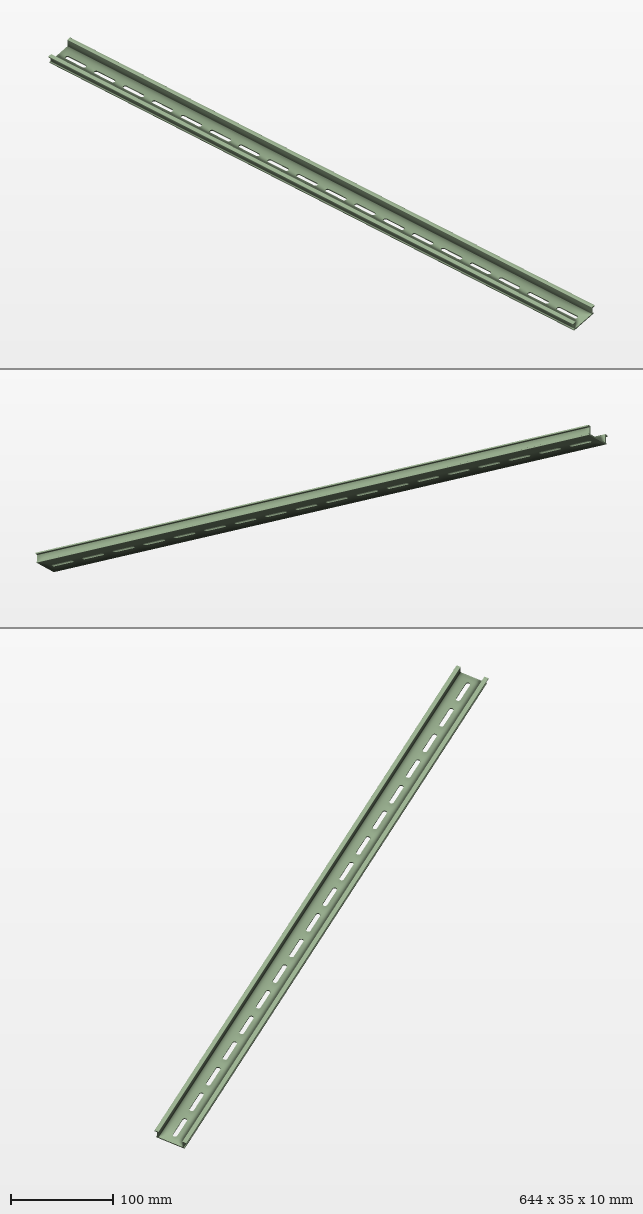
import cadquery as cq

LENGTH = 644.0
WIDTH = 35.0
HEIGHT = 10.0

SHEET_THICKNESS = 1.5
CHANNEL_WIDTH = 26.0
BASE_WIDTH = 31.2
CORNER_RADIUS = 0.25

SLOT_COUNT = 18
SLOT_PITCH = 35.5
SLOT_LENGTH = 25.0
SLOT_WIDTH = 4.7

BOTTOM = -HEIGHT / 2
TOP = HEIGHT / 2
BASE_TOP = BOTTOM + SHEET_THICKNESS
FLANGE_BOTTOM = TOP - SHEET_THICKNESS


def make_rail():
    """Extrude the channel section along X and round all its lengthwise edges."""
    wall_inner = CHANNEL_WIDTH / 2
    wall_outer = wall_inner + SHEET_THICKNESS
    base_edge = BASE_WIDTH / 2
    flange_edge = WIDTH / 2

    half_section = [
        (base_edge, BOTTOM),
        (base_edge, BASE_TOP),
        (wall_outer, BASE_TOP),
        (wall_outer, FLANGE_BOTTOM),
        (flange_edge, FLANGE_BOTTOM),
        (flange_edge, TOP),
        (wall_inner, TOP),
        (wall_inner, BASE_TOP),
    ]
    mirrored_half = [(-y, z) for y, z in reversed(half_section)]
    return (
        cq.Workplane("YZ")
        .polyline(half_section + mirrored_half)
        .close()
        .extrude(LENGTH / 2, both=True)
        .edges("|X")
        .fillet(CORNER_RADIUS)
    )


def make_slots():
    """Row of round-ended slots through the base, along the rail centreline."""
    return (
        cq.Workplane("XY", origin=(0, 0, BOTTOM))
        .rarray(SLOT_PITCH, 1, SLOT_COUNT, 1)
        .slot2D(SLOT_LENGTH, SLOT_WIDTH)
        .extrude(SHEET_THICKNESS)
    )


result = make_rail().cut(make_slots())